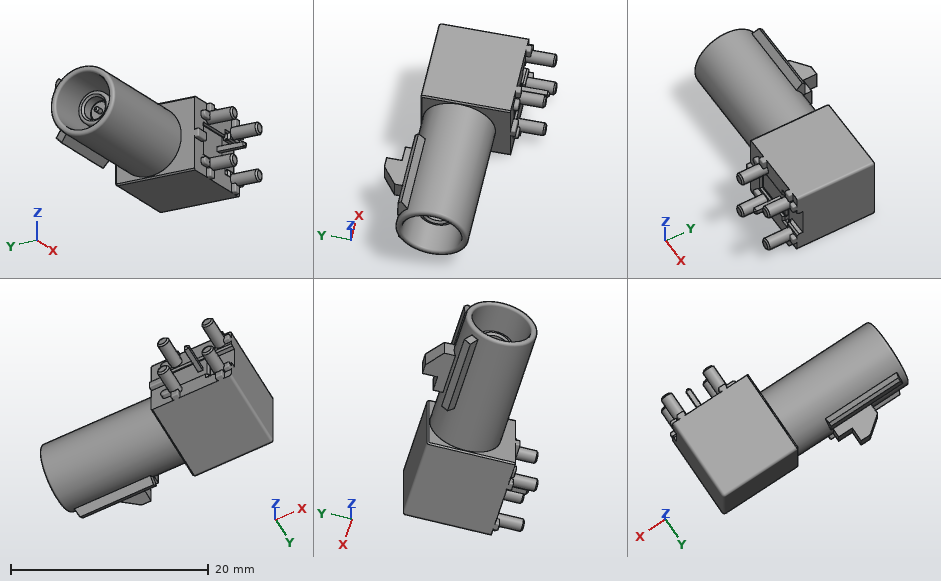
import cadquery as cq
import math


total_length = 22.8
body_height = 8.0

body_front = 13.61
body_back_y = body_height / 2
mount_y = -5.3
body_front_chamfer = 0.15
body_edge_radius = 0.3

barrel_radius = 7.5 / 2
barrel_rim_radius = 0.3
bore_radius = 3.1
bore_rim_radius = 0.25
bore_depth = 11.4

tube_front = 2.33
tube_radius = 1.85
tube_bore_radius = 1.23
tube_edge = 0.23
insulator_front = 3.65
insulator_chamfer = 0.18
contact_front = 2.74
contact_radius = 0.27
contact_chamfer = 0.15

latch_width = 1.98
latch_front = 4.55
latch_peak_start = 6.45
latch_peak_end = 7.55
latch_end = 9.2
latch_ramp_foot_y = 4.79
latch_peak_y = 6.25
latch_tail_y = 4.65

key_front = 0.8
key_end = 9.5
key_reach = 4.75
key_lean = 0.27
key_root = bore_radius + bore_rim_radius
lower_key_width = 0.9
upper_key_side_y = 3.7
upper_key_low_z = 1.35

leg_radius = 0.65
leg_tip_y = -8.35
leg_tip_chamfer = 0.17
leg_spacing = 5.08
leg_front_x = 16.5
leg_xs = (leg_front_x, leg_front_x + leg_spacing)
leg_zs = (-leg_spacing / 2, leg_spacing / 2)

signal_x = 19.08
signal_width = 0.52
signal_tip_y = -8.19
signal_tip_length = 0.2
signal_tip_inset = 0.17

rib_height = 0.5
rib_width = 0.85
rib_edge_radius = 0.14
front_rib_start = 14.9
locating_rib_length = 1.65
locating_rib_width = 0.93

recess_start = 15.44
recess_half_width = 1.75
step_x = 19.84
cross_end = 20.93
cross_half_width = 2.42
shallow_depth = 0.35
deep_depth = 0.65
bevel_x = 0.23
bevel_z = 0.14
bevel_depth = 0.23


def box(x0, x1, y0, y1, z0, z1):
    """Box between two opposite corners."""
    return cq.Workplane("XY").box(x1 - x0, y1 - y0, z1 - z0, centered=False).translate((x0, y0, z0))


def rod(radius, front, back):
    """Cylinder on the barrel axis."""
    return cq.Workplane("YZ", origin=(front, 0, 0)).circle(radius).extrude(back - front)


def make_body():
    body = box(body_front, total_length, mount_y, body_back_y, -body_height / 2, body_height / 2)
    rounded_edges = "(>X and |Y) or (>X and >Y) or (>Y and |X)"
    body = body.edges(rounded_edges).fillet(body_edge_radius)
    return body.faces("<X").edges("not <Y").chamfer(body_front_chamfer)


def make_barrel():
    barrel = rod(barrel_radius, 0, body_front).faces("<X").edges().fillet(barrel_rim_radius)
    barrel = barrel.cut(rod(bore_radius, 0, bore_depth))
    return barrel.faces("<X").edges(cq.selectors.RadiusNthSelector(0)).fillet(bore_rim_radius)


def make_inner_contact():
    tube = rod(tube_radius, tube_front, bore_depth).faces("<X").edges().fillet(tube_edge)
    tube = tube.cut(rod(tube_bore_radius, tube_front, bore_depth))
    tube = tube.faces("<X").edges(cq.selectors.RadiusNthSelector(0)).chamfer(tube_edge)
    insulator = rod(tube_bore_radius, insulator_front, bore_depth).faces("<X").chamfer(insulator_chamfer)
    contact = rod(contact_radius, contact_front, bore_depth).faces("<X").chamfer(contact_chamfer)
    return tube.union(insulator).union(contact)


def make_latch():
    outline = [
        (latch_front, key_root),
        (latch_front, latch_ramp_foot_y),
        (latch_peak_start, latch_peak_y),
        (latch_peak_end, latch_peak_y),
        (latch_peak_end, latch_tail_y),
        (latch_end, latch_tail_y),
        (latch_end, key_root),
    ]
    return cq.Workplane("XY").polyline(outline).close().extrude(latch_width / 2, both=True)


def key_blank(side):
    """Slab lying on the 45 degree radius towards +Y and side * Z, with its front end leaning back."""
    lean_per_unit = key_lean / (key_reach - barrel_radius)
    outline = [
        (key_front - (barrel_radius - key_root) * lean_per_unit, key_root),
        (key_front + key_lean, key_reach),
        (key_end, key_reach),
        (key_end, key_root),
    ]
    slab = cq.Workplane("XY").polyline(outline).close().extrude(body_height / 2, both=True)
    return slab.rotate((0, 0, 0), (1, 0, 0), side * 45)


def make_upper_key():
    tip = key_reach / math.sqrt(2)
    outline = [
        (0, 0),
        (tip, tip),
        (upper_key_side_y, 2 * tip - upper_key_side_y),
        (upper_key_side_y, upper_key_low_z),
        (0, upper_key_low_z),
    ]
    section = cq.Workplane("YZ").polyline(outline).close().extrude(key_end)
    return section.intersect(key_blank(1))


def make_lower_key():
    section = box(0, key_end, 0, key_reach, -lower_key_width / 2, lower_key_width / 2)
    return section.rotate((0, 0, 0), (1, 0, 0), -45).intersect(key_blank(-1))


def make_legs():
    face = cq.Workplane("XZ", origin=(0, mount_y + deep_depth, 0))
    legs = face.pushPoints([(x, z) for x in leg_xs for z in leg_zs]).circle(leg_radius)
    legs = legs.extrude(mount_y + deep_depth - leg_tip_y)
    return legs.faces("<Y").chamfer(leg_tip_chamfer)


def make_signal_pin():
    face = cq.Workplane("XZ", origin=(signal_x, mount_y + deep_depth, 0))
    pin = face.rect(signal_width, signal_width).extrude(mount_y + deep_depth - signal_tip_y)
    return pin.faces("<Y").chamfer(signal_tip_length, signal_tip_inset)


def make_rib(x0, x1, z0, z1):
    """Standoff rib with rounded free edges."""
    rib = box(x0, x1, mount_y - rib_height, mount_y, z0, z1)
    return rib.edges("|Y or <Y").fillet(rib_edge_radius)


def make_front_leg_rib(z):
    """Rib with a semicircular end, running forward from a front leg."""
    length = 2 * (leg_front_x - front_rib_start)
    rib = cq.Workplane("XZ", origin=(leg_front_x, mount_y, z)).slot2D(length, rib_width).extrude(rib_height)
    rib = rib.faces("<Y").edges().fillet(rib_edge_radius)
    return rib.intersect(box(front_rib_start, leg_front_x, leg_tip_y, mount_y, -body_height, body_height))


def make_ribs():
    half = rib_width / 2
    locating_half = locating_rib_width / 2
    ribs = make_rib(body_front, body_front + locating_rib_length, -locating_half, locating_half)
    for z in leg_zs:
        ribs = ribs.union(make_front_leg_rib(z))
        ribs = ribs.union(make_rib(leg_xs[1], total_length, z - half, z + half))
        side_z0 = min(z, math.copysign(body_height / 2, z))
        side_z1 = max(z, math.copysign(body_height / 2, z))
        for x in leg_xs:
            ribs = ribs.union(make_rib(x - half, x + half, side_z0, side_z1))
    return ribs


def make_pocket(x0, x1, half_width, depth, sunk=0.0):
    """Straight-walled pocket with a bevelled mouth; its mouth may be sunk below the mounting face."""
    length = x1 - x0
    inner_length = length - 2 * bevel_x
    inner_width = 2 * (half_width - bevel_z)
    face = cq.Workplane("XZ", origin=((x0 + x1) / 2, mount_y + sunk, 0))
    mouth = face.rect(length, 2 * half_width).workplane(offset=-bevel_depth)
    bevel = mouth.rect(inner_length, inner_width).loft(ruled=True)
    return bevel.union(face.rect(inner_length, inner_width).extrude(sunk - depth))


def make_recess():
    shallow = make_pocket(recess_start, cross_end, recess_half_width, shallow_depth)
    cross = make_pocket(step_x, cross_end, cross_half_width, deep_depth)
    outlet = make_pocket(step_x, total_length + 2 * bevel_x, recess_half_width, deep_depth)
    step = make_pocket(step_x, cross_end, recess_half_width, deep_depth, sunk=shallow_depth)
    return shallow.union(cross).union(outlet).union(step)


keys_and_latch = make_latch().union(make_upper_key()).union(make_lower_key())
result = (
    make_body()
    .cut(make_recess())
    .union(keys_and_latch.cut(rod(key_root, 0, body_front)))
    .union(make_barrel())
    .union(make_inner_contact())
    .union(make_legs())
    .union(make_signal_pin())
    .union(make_ribs())
)